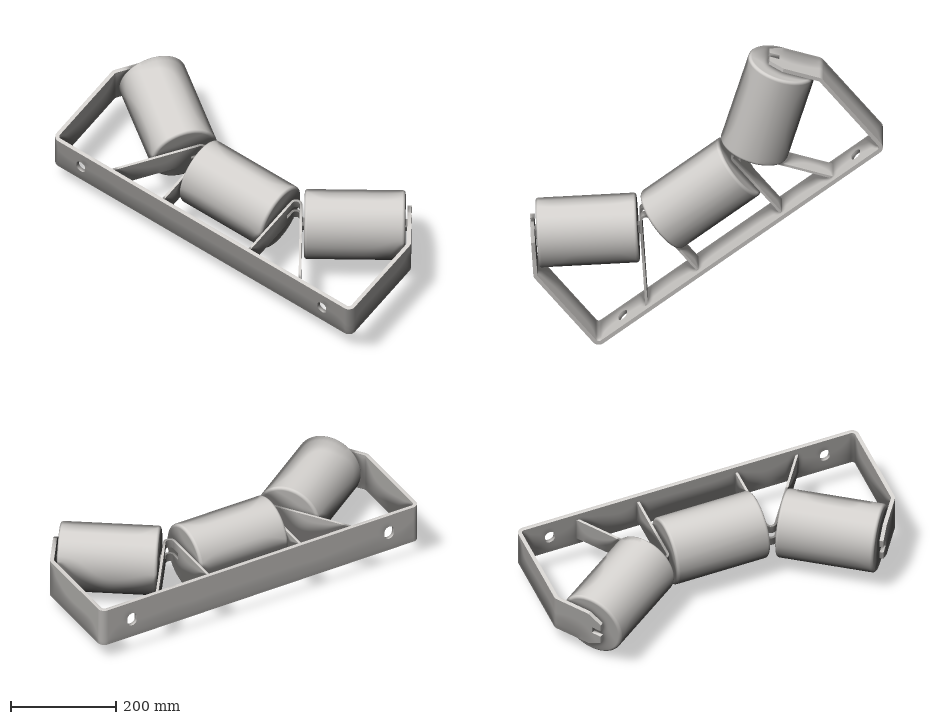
import cadquery as cq
import math

FRAME_LENGTH = 700.0
FRAME_HEIGHT = 80.0
FRAME_THICKNESS = 8.0
BEND_RADIUS = 14.0
TAB_TIP_Y = 281.0
TAB_CHAMFER_LENGTH = 28.0
TAB_CHAMFER_HEIGHT = 16.0
MOUNT_HOLE_X = 283.0
MOUNT_HOLE_WIDTH = 20.0
MOUNT_HOLE_HEIGHT = 28.0

TILT = 35.0
ROLLER_DIAMETER = 133.0
ROLLER_LENGTH = 192.0
ROLLER_EDGE_RADIUS = 5.5
CENTRE_ROLLER_Y = 125.0
SIDE_ROLLER_X = 219.0
OVERALL_DEPTH = 302.5

SHAFT_DEPTH = 19.0
SHAFT_HEIGHT = 15.0
SHAFT_EDGE_RADIUS = 2.0

BRACKET_HEIGHT = 50.0
BRACKET_THICKNESS = 5.0
FOLD_RADIUS = 12.5
BRACKET_SLOT_DEPTH = 21.0

CENTRE_GAP = 3.0
SIDE_GAP = 4.0

UPRIGHT_LEG_FACE = ROLLER_LENGTH / 2 + CENTRE_GAP
UPRIGHT_LEG_BACK = UPRIGHT_LEG_FACE + BRACKET_THICKNESS
SLANTED_LEG_FACE = ROLLER_LENGTH / 2 + SIDE_GAP
SLANTED_LEG_BACK = SLANTED_LEG_FACE + BRACKET_THICKNESS
TAB_FACE = SLANTED_LEG_FACE
TAB_BACK = TAB_FACE + FRAME_THICKNESS

COS_TILT = math.cos(math.radians(TILT))
SIN_TILT = math.sin(math.radians(TILT))
SIDE_ROLLER_Y = (
    OVERALL_DEPTH
    - ROLLER_EDGE_RADIUS
    - (ROLLER_LENGTH / 2 - ROLLER_EDGE_RADIUS) * SIN_TILT
    - (ROLLER_DIAMETER / 2 - ROLLER_EDGE_RADIUS) * COS_TILT
)
SLOT_OPENING = ROLLER_DIAMETER


def on_centre_roller(body):
    return body.translate((0, CENTRE_ROLLER_Y, 0))


def on_side_roller(body):
    """Tilt a body and move it to the roller on the -X side."""
    return body.rotate((0, 0, 0), (0, 0, 1), -TILT).translate((-SIDE_ROLLER_X, SIDE_ROLLER_Y, 0))


def mirrored(body):
    return body.mirror("YZ")


def tilted_line_at_y(outward, y):
    up_line = (y - SIDE_ROLLER_Y - outward * SIN_TILT) / COS_TILT
    return (-SIDE_ROLLER_X - outward * COS_TILT + up_line * SIN_TILT, y)


def tilted_line_at_x(outward, x):
    up_line = (x + SIDE_ROLLER_X + outward * COS_TILT) / SIN_TILT
    return (x, SIDE_ROLLER_Y + outward * SIN_TILT + up_line * COS_TILT)


def upright_prism(outline, height):
    return cq.Workplane("XY", origin=(0, 0, -height / 2)).polyline(outline).close().extrude(height)


def round_bend(body, corner, radius):
    """Fillet the upright edge of a strip that stands at an outline corner."""
    x, y = corner
    return body.edges("|Z").edges(cq.selectors.NearestToPointSelector((x, y, 0))).fillet(radius)


def flat_bar(start_x, length, reach):
    """A bar along +X, from the underside of the shaft to a given reach toward +Y of its axis."""
    depth = reach + SHAFT_DEPTH / 2
    bar = cq.Workplane("XY", origin=(start_x, -SHAFT_DEPTH / 2, 0)).box(
        length, depth, SHAFT_HEIGHT, centered=(False, False, True)
    )
    return bar.edges("|X and <Y").fillet(SHAFT_EDGE_RADIUS)


def shaft(start_x, length):
    return flat_bar(start_x, length, SHAFT_DEPTH / 2)


def shaft_slot(start_x, length):
    """Cutter for a slot that fits the shaft and opens toward +Y."""
    return flat_bar(start_x, length, SLOT_OPENING)


def make_roller(left_reach, right_reach):
    """A drum on its shaft, whose ends reach the given distances from the middle."""
    drum = (
        cq.Workplane("YZ", origin=(-ROLLER_LENGTH / 2, 0, 0))
        .circle(ROLLER_DIAMETER / 2)
        .extrude(ROLLER_LENGTH)
        .edges("%CIRCLE")
        .fillet(ROLLER_EDGE_RADIUS)
    )
    return drum.union(shaft(-left_reach, left_reach + right_reach))


def make_bent_strip():
    """The -X half of the frame strip, without its cut-outs."""
    outer_corner = (-FRAME_LENGTH / 2, 0)
    inner_corner = (-FRAME_LENGTH / 2 + FRAME_THICKNESS, FRAME_THICKNESS)
    outer_knee = tilted_line_at_x(TAB_BACK, outer_corner[0])
    inner_knee = tilted_line_at_x(TAB_FACE, inner_corner[0])
    outer_tip = tilted_line_at_y(TAB_BACK, TAB_TIP_Y)
    inner_tip = tilted_line_at_y(TAB_FACE, TAB_TIP_Y - FRAME_THICKNESS * SIN_TILT)
    outline = [
        (0, 0),
        outer_corner,
        outer_knee,
        outer_tip,
        inner_tip,
        inner_knee,
        inner_corner,
        (0, FRAME_THICKNESS),
    ]
    strip = upright_prism(outline, FRAME_HEIGHT)
    for corner in (outer_corner, outer_knee):
        strip = round_bend(strip, corner, BEND_RADIUS)
    for corner in (inner_corner, inner_knee):
        strip = round_bend(strip, corner, BEND_RADIUS - FRAME_THICKNESS)
    return strip


def tab_corner():
    """Cutter for the upper chamfer at the tip of the tab."""
    tip = (TAB_TIP_Y - SIDE_ROLLER_Y - TAB_BACK * SIN_TILT) / COS_TILT
    top = FRAME_HEIGHT / 2
    triangle = [(tip - TAB_CHAMFER_LENGTH, top), (tip, top), (tip, top - TAB_CHAMFER_HEIGHT)]
    return cq.Workplane("YZ", origin=(-TAB_BACK, 0, 0)).polyline(triangle).close().extrude(FRAME_THICKNESS)


def mount_hole():
    return (
        cq.Workplane("XZ", origin=(-MOUNT_HOLE_X, 0, 0))
        .slot2D(MOUNT_HOLE_HEIGHT, MOUNT_HOLE_WIDTH, 90)
        .extrude(-FRAME_THICKNESS)
    )


def make_frame():
    corner = tab_corner()
    half = (
        make_bent_strip()
        .cut(on_side_roller(corner))
        .cut(on_side_roller(corner.mirror("XY")))
        .cut(on_side_roller(shaft_slot(-TAB_BACK, FRAME_THICKNESS)))
        .cut(mount_hole())
    )
    return half.union(mirrored(half))


def fold_block(slanted_reach, upright_reach, radius):
    """The solid wedge under a fold, between its slanted side and its upright side."""
    ridge = tilted_line_at_x(-slanted_reach, -upright_reach)
    slanted_foot = tilted_line_at_y(-slanted_reach, FRAME_THICKNESS)
    outline = [slanted_foot, ridge, (-upright_reach, FRAME_THICKNESS)]
    return round_bend(upright_prism(outline, BRACKET_HEIGHT), ridge, radius)


def make_bracket():
    """The bracket on the -X side: a slanted leg and an upright leg joined by the fold."""
    outside = fold_block(SLANTED_LEG_FACE, UPRIGHT_LEG_FACE, FOLD_RADIUS)
    inside = fold_block(SLANTED_LEG_BACK, UPRIGHT_LEG_BACK, FOLD_RADIUS - BRACKET_THICKNESS)
    slanted_slot = shaft_slot(SLANTED_LEG_FACE, BRACKET_SLOT_DEPTH)
    upright_slot = shaft_slot(-UPRIGHT_LEG_FACE - BRACKET_SLOT_DEPTH, BRACKET_SLOT_DEPTH)
    return outside.cut(inside).cut(on_side_roller(slanted_slot)).cut(on_centre_roller(upright_slot))


frame = make_frame()
centre_roller = on_centre_roller(make_roller(UPRIGHT_LEG_BACK, UPRIGHT_LEG_BACK))
side_roller = on_side_roller(make_roller(TAB_BACK, SLANTED_LEG_BACK))
bracket = make_bracket()

bodies = [frame.solids().val(), centre_roller.solids().val()]
for left_body in (side_roller, bracket):
    for body in (left_body, mirrored(left_body)):
        bodies.append(body.solids().val())

result = cq.Compound.makeCompound(bodies)